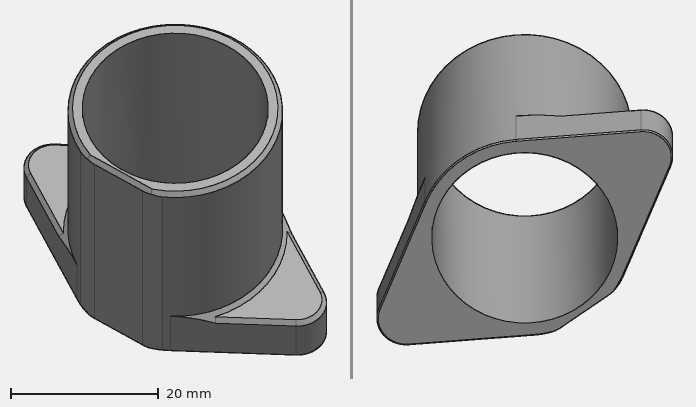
import cadquery as cq
import math

height = 36.0
length = 48.0
tube_radius = 14.55
bore_diameter = 25.2
flat_distance = 13.6
flat_blend_radius = 6.0
ear_height = 7.5
ear_tip_radius = 4.0
chamfer = 0.6
base_chamfer = 0.2

tip_center_x = length / 2 - ear_tip_radius


def tube():
    """Cylinder chamfered at both ends, with a flat on the front and blended corners beside it."""
    cylinder = cq.Workplane("XY").circle(tube_radius).extrude(height)
    chamfered = cylinder.faces(">Z").chamfer(chamfer).faces("<Z").chamfer(base_chamfer)

    behind_flat = (
        cq.Workplane("YZ")
        .moveTo(-flat_distance, 0)
        .lineTo(-flat_distance, height - chamfer)
        .lineTo(-flat_distance + chamfer, height)
        .lineTo(tube_radius, height)
        .lineTo(tube_radius, 0)
        .close()
        .extrude(tube_radius, both=True)
    )

    flat_side = cq.Workplane("XY").box(
        2 * tube_radius, flat_distance + tube_radius, height, centered=(True, False, False)
    ).translate((0, -flat_distance, 0))
    blended = cylinder.intersect(flat_side).faces("<Y").edges("|Z").fillet(flat_blend_radius)
    return chamfered.intersect(behind_flat).intersect(blended)


def ear_prism(prism_height):
    """Two rounded tips joined to the tube circle by tangent lines, chamfered at the base."""
    normal_x = (tube_radius - ear_tip_radius) / tip_center_x
    normal_y = math.sqrt(1 - normal_x**2)
    tube_x, tube_y = tube_radius * normal_x, tube_radius * normal_y
    tip_x, tip_y = tip_center_x + ear_tip_radius * normal_x, ear_tip_radius * normal_y
    return (
        cq.Workplane("XY")
        .moveTo(tube_x, -tube_y)
        .lineTo(tip_x, -tip_y)
        .threePointArc((length / 2, 0), (tip_x, tip_y))
        .lineTo(tube_x, tube_y)
        .lineTo(-tube_x, tube_y)
        .lineTo(-tip_x, tip_y)
        .threePointArc((-length / 2, 0), (-tip_x, -tip_y))
        .lineTo(-tube_x, -tube_y)
        .close()
        .extrude(prism_height)
        .faces("<Z")
        .chamfer(base_chamfer)
    )


def ears():
    """Chamfered ears with a sloped collar where they meet the tube."""
    collar_top = ear_height + chamfer
    collar_base_radius = tube_radius + collar_top
    collar = (
        cq.Workplane("XZ")
        .lineTo(collar_base_radius, 0)
        .lineTo(tube_radius, collar_top)
        .lineTo(0, collar_top)
        .close()
        .revolve(360, (0, 0, 0), (0, 1, 0))
        .intersect(ear_prism(collar_top))
    )
    return ear_prism(ear_height).faces(">Z").chamfer(chamfer).union(collar)


bore = cq.Workplane("XY").circle(bore_diameter / 2).extrude(height)
result = tube().union(ears()).cut(bore)